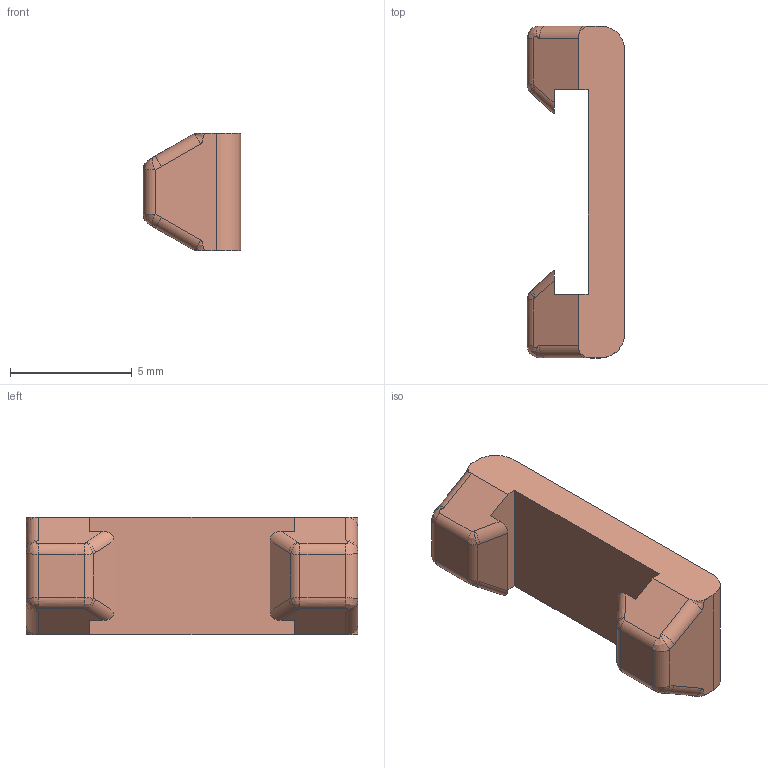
import cadquery as cq
import math

DEPTH = 4.0
LENGTH = 13.6
HEIGHT = 4.8

BAR_THICKNESS = 1.5
BAR_CORNER_RADIUS = 1.0

HOOK_WIDTH = 2.6
LIP_OVERHANG = 1.0
LIP_THICKNESS = 1.1
HOOK_FILLET = 0.5

SLOPE_LENGTH = 2.1
SLOPE_ANGLE = 30.0

HALF_LENGTH = LENGTH / 2
HALF_HEIGHT = HEIGHT / 2
ROOT_Y = HALF_LENGTH - HOOK_WIDTH
LIP_TIP_Y = ROOT_Y - LIP_OVERHANG
BAR_FACE_X = DEPTH - BAR_THICKNESS
NOSE_HALF_HEIGHT = HALF_HEIGHT - SLOPE_LENGTH * math.tan(math.radians(SLOPE_ANGLE))


def plan_prism():
    """C-shaped plan with inward lips, extruded over the full height."""
    upper_hook = [
        (BAR_FACE_X, ROOT_Y),
        (LIP_THICKNESS, ROOT_Y),
        (LIP_THICKNESS, LIP_TIP_Y),
        (0, ROOT_Y),
        (0, HALF_LENGTH),
        (DEPTH, HALF_LENGTH),
    ]
    lower_hook = [(x, -y) for x, y in reversed(upper_hook)]
    plan = cq.Workplane("XY").polyline(upper_hook + lower_hook).close()
    return plan.extrude(HALF_HEIGHT, both=True)


def side_prism():
    """Side profile that tapers towards the nose, extruded over the full length."""
    upper_side = [(0, NOSE_HALF_HEIGHT), (SLOPE_LENGTH, HALF_HEIGHT), (DEPTH, HALF_HEIGHT)]
    lower_side = [(x, -z) for x, z in reversed(upper_side)]
    profile = cq.Workplane("XZ").polyline(upper_side + lower_side).close()
    return profile.extrude(HALF_LENGTH, both=True)


def round_bar_corners(body):
    """Round the two vertical edges at the back of the bar."""
    return body.edges("|Z").edges(">X").fillet(BAR_CORNER_RADIUS)


def round_hooks(body):
    """Round the nose corners, then the rims above and below the nose flats.

    Each rim runs smoothly on through the rounded corners, so its fillet also
    follows the sloping edges at the outer end and along the lip.
    """
    corners_rounded = body.edges("|Z").edges("<X").fillet(HOOK_FILLET)
    return corners_rounded.edges("|Y").edges("<X").fillet(HOOK_FILLET)


tapered_body = plan_prism().intersect(side_prism())
result = round_hooks(round_bar_corners(tapered_body))